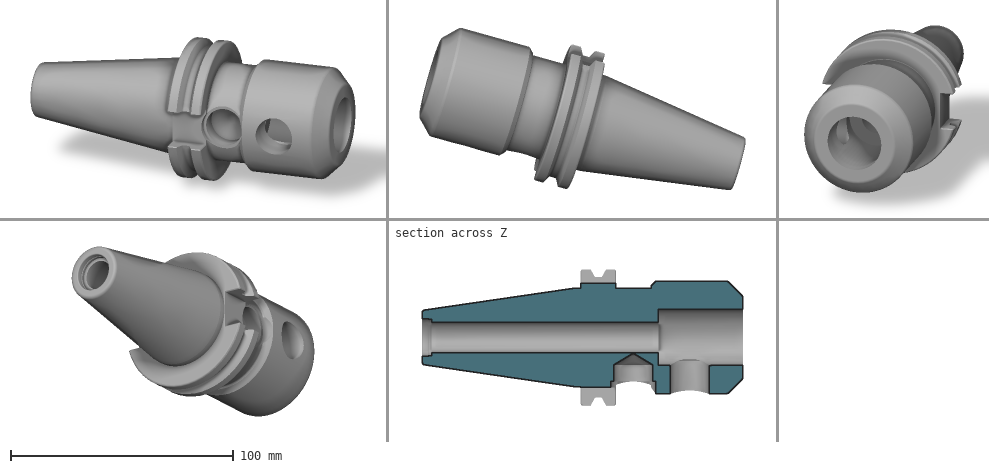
import cadquery as cq
import math

GAUGE_DIAMETER = 44.45
TAPER_LENGTH = 68.25
TAPER_RATIO = 7 / 24
SMALL_END_DIAMETER = GAUGE_DIAMETER - TAPER_LENGTH * TAPER_RATIO
SMALL_END_FILLET = 1.5

FLANGE_DIAMETER = 63.5
FLANGE_GAP = 3.18
FLANGE_WIDTH = 15.87
FLANGE_START = TAPER_LENGTH + FLANGE_GAP
FLANGE_END = FLANGE_START + FLANGE_WIDTH
FLANGE_EDGE_FILLET = 0.8
GROOVE_CENTER = (FLANGE_START + FLANGE_END) / 2
GROOVE_FLOOR_DIAMETER = 56.6
GROOVE_FLOOR_WIDTH = 3.0
GROOVE_HALF_ANGLE = 30.0
GROOVE_FLOOR_FILLET = 0.5

SLOT_WIDTH = 16.3
SLOT_EDGE_CHAMFER = 0.4
FRONT_SLOT_FLOOR = 22.6
BACK_SLOT_FLOOR = 24.6

PROJECTION = 76.2
TOTAL_LENGTH = TAPER_LENGTH + PROJECTION
NECK_DIAMETER = 44.45
BODY_DIAMETER = 50.8
BODY_START = 103.1
BODY_REAR_CHAMFER = 2.1
BODY_NOSE_CHAMFER = 6.8
NOSE_FILLET = 1.8
FLANGE_ROOT_FILLET = 0.3
BODY_ROOT_FILLET = 0.5

THROUGH_BORE_DIAMETER = 13.39
PILOT_BORE_DIAMETER = 16.3
PILOT_BORE_DEPTH = 4.4
ENTRY_BORE_DIAMETER = 16.8
ENTRY_BORE_DEPTH = 2.8
ENTRY_CONE_HALF_ANGLE = 45.0
ENTRY_RIM_FILLET = 0.5
TOOL_BORE_DIAMETER = 25.0
TOOL_BORE_DEPTH = 38.0

SCREW_DRILL_DIAMETER = 17.32
SCREW_COUNTERBORE_DIAMETER = 20.0
DRILL_TIP_ANGLE = 118.0
FRONT_SCREW_SETBACK = 24.0
SCREW_SPACING = 25.4
FRONT_SCREW_X = TOTAL_LENGTH - FRONT_SCREW_SETBACK
REAR_SCREW_X = FRONT_SCREW_X - SCREW_SPACING
FRONT_SCREW_CONE_START = 10.35
REAR_SCREW_CONE_START = 12.4
REAR_COUNTERBORE_FLOOR = 19.8


def cylinder(diameter, start, end):
    """Cylinder on the X axis between two X positions."""
    return cq.Workplane("YZ", origin=(start, 0, 0)).circle(diameter / 2).extrude(end - start)


def revolve_profile(points):
    """Revolve a closed (x, radius) outline about the X axis."""
    return cq.Workplane("XY").polyline(points).close().revolve(360, (0, 0, 0), (1, 0, 0))


def make_shank():
    taper = revolve_profile([
        (0, 0),
        (0, SMALL_END_DIAMETER / 2),
        (TAPER_LENGTH, GAUGE_DIAMETER / 2),
        (FLANGE_START, GAUGE_DIAMETER / 2),
        (FLANGE_START, 0),
    ])
    return taper.faces("<X").edges().fillet(SMALL_END_FILLET)


def make_drive_slot(side, floor):
    """Slot cutter reaching outward from the floor; side is -1 for -Y and +1 for +Y."""
    reach = FLANGE_DIAMETER / 2
    center = (GROOVE_CENTER, side * (floor + reach / 2), 0)
    return cq.Workplane("XY").box(FLANGE_WIDTH, reach, SLOT_WIDTH).translate(center)


def make_groove():
    """Ring-shaped cutter for the V groove around the flange."""
    floor_radius = GROOVE_FLOOR_DIAMETER / 2
    outer_radius = FLANGE_DIAMETER / 2
    floor_half = GROOVE_FLOOR_WIDTH / 2
    mouth_half = floor_half + (outer_radius - floor_radius) * math.tan(math.radians(GROOVE_HALF_ANGLE))
    cutter = revolve_profile([
        (GROOVE_CENTER - floor_half, floor_radius),
        (GROOVE_CENTER - mouth_half, outer_radius),
        (GROOVE_CENTER + mouth_half, outer_radius),
        (GROOVE_CENTER + floor_half, floor_radius),
    ])
    floor_corners = cutter.edges(cq.selectors.RadiusNthSelector(0))
    return floor_corners.fillet(GROOVE_FLOOR_FILLET)


def make_flange():
    flange = cylinder(FLANGE_DIAMETER, FLANGE_START, FLANGE_END)
    flange = flange.faces("<X or >X").edges().fillet(FLANGE_EDGE_FILLET)
    for side, floor in ((-1, FRONT_SLOT_FLOOR), (1, BACK_SLOT_FLOOR)):
        flange = flange.cut(make_drive_slot(side, floor))

    wall_edges = flange.faces("|Z").edges()
    rims = wall_edges.filter(lambda edge: abs(edge.Center().y) > BACK_SLOT_FLOOR + SLOT_EDGE_CHAMFER)
    flange = rims.chamfer(SLOT_EDGE_CHAMFER)
    return flange.cut(make_groove())


def make_root_fillet(x, direction, size):
    """Concave ring filling the corner between the neck and a face at x; direction points along the neck."""
    radius = NECK_DIAMETER / 2
    along = x + direction * size
    bulge = size * (1 - math.sqrt(0.5))
    outline = (
        cq.Workplane("XY")
        .moveTo(x, radius - size)
        .lineTo(x, radius + size)
        .threePointArc((x + direction * bulge, radius + bulge), (along, radius))
        .lineTo(along, radius - size)
        .close()
    )
    return outline.revolve(360, (0, 0, 0), (1, 0, 0))


def make_body():
    neck = cylinder(NECK_DIAMETER, FLANGE_END, BODY_START)
    neck = neck.union(make_root_fillet(FLANGE_END, 1, FLANGE_ROOT_FILLET))
    neck = neck.union(make_root_fillet(BODY_START, -1, BODY_ROOT_FILLET))
    body = cylinder(BODY_DIAMETER, BODY_START, TOTAL_LENGTH)
    body = body.faces("<X").edges().chamfer(BODY_REAR_CHAMFER)
    body = body.faces(">X").edges().chamfer(BODY_NOSE_CHAMFER)
    nose_start = TOTAL_LENGTH - BODY_NOSE_CHAMFER
    nose_edges = body.edges("%CIRCLE").filter(lambda edge: edge.Center().x > nose_start - NOSE_FILLET)
    return nose_edges.fillet(NOSE_FILLET).union(neck)


def make_axial_bores():
    bores = cylinder(THROUGH_BORE_DIAMETER, 0, TOTAL_LENGTH)
    bores = bores.union(cylinder(PILOT_BORE_DIAMETER, 0, PILOT_BORE_DEPTH))
    pilot_radius = PILOT_BORE_DIAMETER / 2
    entry_radius = ENTRY_BORE_DIAMETER / 2
    cone_length = (entry_radius - pilot_radius) / math.tan(math.radians(ENTRY_CONE_HALF_ANGLE))
    entry = revolve_profile([
        (0, 0),
        (0, entry_radius),
        (ENTRY_BORE_DEPTH, entry_radius),
        (ENTRY_BORE_DEPTH + cone_length, pilot_radius),
        (ENTRY_BORE_DEPTH + cone_length, 0),
    ])
    bores = bores.union(entry)
    return bores.union(cylinder(TOOL_BORE_DIAMETER, TOTAL_LENGTH - TOOL_BORE_DEPTH, TOTAL_LENGTH))


def make_screw_hole(x, cone_start):
    """Drilled hole from -Y with a conical bottom starting at the given distance from the axis."""
    radius = SCREW_DRILL_DIAMETER / 2
    tip = cone_start - radius / math.tan(math.radians(DRILL_TIP_ANGLE / 2))
    outline = [(x, -BODY_DIAMETER), (x + radius, -BODY_DIAMETER), (x + radius, -cone_start), (x, -tip)]
    return cq.Workplane("XY").polyline(outline).close().revolve(360, (x, 0, 0), (x, 1, 0))


def make_rear_counterbore():
    plane = cq.Workplane("XZ", origin=(REAR_SCREW_X, -REAR_COUNTERBORE_FLOOR, 0))
    return plane.circle(SCREW_COUNTERBORE_DIAMETER / 2).extrude(BODY_DIAMETER)


result = make_shank().union(make_flange()).union(make_body())
result = result.cut(make_axial_bores())
entry_rim = result.faces("<X").edges(cq.selectors.RadiusNthSelector(0))
result = entry_rim.fillet(ENTRY_RIM_FILLET)
result = result.cut(make_screw_hole(FRONT_SCREW_X, FRONT_SCREW_CONE_START))
result = result.cut(make_screw_hole(REAR_SCREW_X, REAR_SCREW_CONE_START))
result = result.cut(make_rear_counterbore())